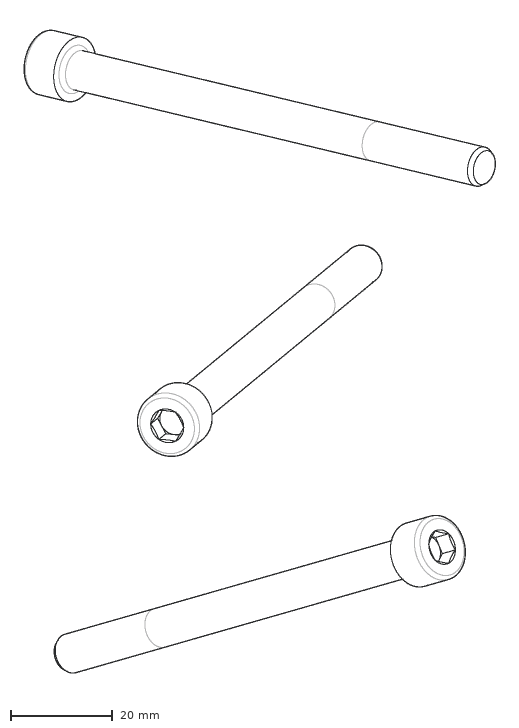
import cadquery as cq
import math

total_length = 113.0
head_diameter = 13.0
head_height = 8.0
head_edge_radius = 0.8
shank_diameter = 7.9
neck_radius = 0.9
thread_length = 28.0
tip_chamfer_length = 1.0
tip_chamfer_depth = 0.6

hex_across_flats = 6.0
hex_across_corners = hex_across_flats / math.cos(math.pi / 6)
socket_depth = 4.0
drill_point_angle = 120.0
lead_in_angle = 120.0

head_face_x = -total_length / 2
head_back_x = head_face_x + head_height
thread_start_x = total_length / 2 - thread_length


def make_head():
    """Cylindrical head with a rounded rim around its outer face."""
    head = cq.Workplane("YZ", origin=(head_face_x, 0, 0)).circle(head_diameter / 2).extrude(head_height)
    return head.faces("<X").edges().fillet(head_edge_radius)


def make_shank():
    """Plain shank with a concave neck against the head."""
    radius = shank_diameter / 2
    neck_end_x = head_back_x + neck_radius
    arc_offset = neck_radius * (1 - math.sqrt(0.5))
    return (
        cq.Workplane("XY")
        .moveTo(head_back_x, 0)
        .lineTo(head_back_x, radius + neck_radius)
        .threePointArc((head_back_x + arc_offset, radius + arc_offset), (neck_end_x, radius))
        .lineTo(thread_start_x, radius)
        .lineTo(thread_start_x, 0)
        .close()
        .revolve(360, (0, 0, 0), (1, 0, 0))
    )


def make_threaded_end():
    """Thread envelope as a smooth cylinder with a chamfered tip."""
    end = cq.Workplane("YZ", origin=(thread_start_x, 0, 0)).circle(shank_diameter / 2).extrude(thread_length)
    return end.faces(">X").edges().chamfer(tip_chamfer_length, tip_chamfer_depth)


def make_socket():
    """Hexagonal socket, corners toward +Y and -Y, with a lead-in cone and a drill-point floor."""
    hexagon = (
        cq.Workplane("YZ", origin=(head_face_x, 0, 0))
        .polygon(6, hex_across_corners)
        .extrude(socket_depth)
    )
    floor_x = head_face_x + socket_depth
    cone_radius = hex_across_flats / 2
    cone_depth = cone_radius / math.tan(math.radians(drill_point_angle / 2))
    cone = (
        cq.Workplane("XY")
        .polyline([(floor_x, 0), (floor_x, cone_radius), (floor_x + cone_depth, 0)])
        .close()
        .revolve(360, (0, 0, 0), (1, 0, 0))
    )
    mouth_radius = hex_across_corners / 2
    lead_in_depth = mouth_radius / math.tan(math.radians(lead_in_angle / 2))
    lead_in = (
        cq.Workplane("XY")
        .polyline([(head_face_x, 0), (head_face_x, mouth_radius), (head_face_x + lead_in_depth, 0)])
        .close()
        .revolve(360, (0, 0, 0), (1, 0, 0))
    )
    return hexagon.union(cone).union(lead_in)


screw = make_head().union(make_shank()).union(make_threaded_end(), clean=False)
result = screw.cut(make_socket(), clean=False)